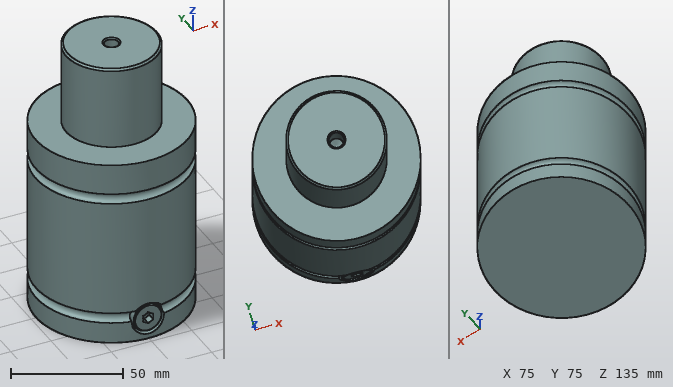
import cadquery as cq
import math

body_diameter = 75.0
body_radius = body_diameter / 2
body_height = 94.0
groove_radius = 2.5
groove_heights = (13.1, 76.1)

total_height = 135
rod_diameter = 45.0
rod_chamfer = 1.0

hole_diameter = 6.8
hole_mouth_diameter = 8.1
hole_chamfer = (hole_mouth_diameter - hole_diameter) / 2
hole_depth = 13.5
drill_tip_angle = 118

port_height = 10.5
port_diameter = 16.0
port_depth = 5.0
plug_diameter = 14.0
plug_recess = 0.5
plug_chamfer = 0.5
hex_flats = 5.0
hex_depth = 4


def make_body():
    body = cq.Workplane("XY").circle(body_radius).extrude(body_height)
    for height in groove_heights:
        ring = cq.Solid.makeTorus(body_radius, groove_radius, cq.Vector(0, 0, height))
        body = body.cut(cq.Workplane(obj=ring))
    return body


def make_rod():
    rod = (
        cq.Workplane("XY")
        .workplane(offset=body_height)
        .circle(rod_diameter / 2)
        .extrude(total_height - body_height)
    )
    return rod.faces(">Z").chamfer(rod_chamfer)


def make_rod_hole():
    """Drilled hole with a conical tip and a chamfered mouth."""
    radius = hole_diameter / 2
    floor = total_height - hole_depth
    tip = floor - radius / math.tan(math.radians(drill_tip_angle / 2))
    profile = [
        (0, tip),
        (radius, floor),
        (radius, total_height - hole_chamfer),
        (hole_mouth_diameter / 2, total_height),
        (0, total_height),
    ]
    return cq.Workplane("XZ").polyline(profile).close().revolve(360, (0, 0, 0), (0, 1, 0))


def port_plane(depth):
    """Plane facing -Y, centred on the port at a depth below the body's front."""
    return cq.Workplane("XZ", origin=(0, depth - body_radius, port_height))


def make_plug():
    plug = port_plane(port_depth).circle(plug_diameter / 2).extrude(port_depth - plug_recess)
    plug = plug.faces("<Y").chamfer(plug_chamfer)
    hex_corners = hex_flats / math.cos(math.pi / 6)
    socket = (
        port_plane(plug_recess)
        .transformed(rotate=(0, 0, 90))
        .polygon(6, hex_corners)
        .extrude(-hex_depth)
    )
    return plug.cut(socket)


port = port_plane(port_depth).circle(port_diameter / 2).extrude(port_depth)
result = make_body().union(make_rod()).cut(make_rod_hole()).cut(port).union(make_plug())